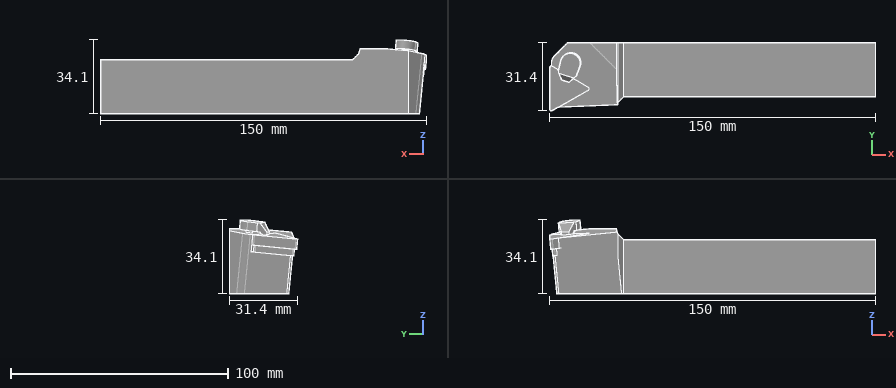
import cadquery as cq
import math


overall_length = 150.0
shank_width = 25.0
shank_height = 25.0

seat_tilt = 5.6
corner_overhang = 6.43
corner_height = 25.05

inscribed_diameter = 12.7
insert_thickness = 4.76
insert_corner_radius = 0.8

shim_thickness = 3.18
shim_inset = 0.6

head_height = 30.0
head_front_inset = 0.75
head_side_offset = 2.2
head_side_angle = 2.9
front_corner_chamfer = 1.0
back_corner_start = 22.6
back_corner_radius = 5.0
back_corner_turn = 45.0

neck_end = 34.0
neck_rise = 2.6
step_lean = 0.75

clamp_height = 5.22
clamp_center_x = 10.0
clamp_center_y = 23.2
clamp_angle = 17.0
clamp_radius = 4.6
clamp_shoulder_half_width = 4.3
clamp_shoulder = 4.9
clamp_slope_start = 6.0
clamp_nose_half_width = 1.8
clamp_nose_reach = 9.1
clamp_nose_height = 1.3
clamp_toe_length = 1.8
clamp_clearance = 1.2
clamp_stem_diameter = 3.0

slope = math.tan(math.radians(seat_tilt))
insert_side = inscribed_diameter * math.sqrt(3)
corner_setback = insert_corner_radius * (math.sqrt(3) - 1)
seat_normal = cq.Vector(-slope, -slope, 1)
seat_x = cq.Vector(0, 1, slope).cross(seat_normal)
seat_origin = cq.Vector(0, -corner_overhang - corner_setback, corner_height)
seat = cq.Plane(origin=seat_origin, xDir=seat_x, normal=seat_normal)

margin = 10.0


def triangle_prism(front_x, near_y, side, top, thickness):
    """Round-cornered equilateral triangle parallel to the seat, with its front edge along Y.

    The front edge starts at `near_y`; the triangle's top lies `top` below the seat plane.
    """
    apex_x = front_x + side * math.sqrt(3) / 2
    return (
        cq.Workplane(seat)
        .workplane(offset=-top)
        .polyline([(front_x, near_y), (apex_x, near_y + side / 2), (front_x, near_y + side)])
        .close()
        .extrude(-thickness)
        .edges(cq.selectors.ParallelDirSelector(seat_normal))
        .fillet(insert_corner_radius)
    )


def leaning_head():
    """Head block with walls square to the seat plane, running past its trimmed ends."""
    far_x = neck_end + margin
    far_y = 2 * shank_width
    side_rise = math.tan(math.radians(head_side_angle))
    front = head_front_inset
    chamfer_x = front + front_corner_chamfer
    arc_end_angle = math.radians(back_corner_turn)
    arc_mid_angle = arc_end_angle / 2
    arc_center_x = front + back_corner_radius
    arc_end_x = arc_center_x - back_corner_radius * math.cos(arc_end_angle)
    arc_end_y = back_corner_start + back_corner_radius * math.sin(arc_end_angle)
    arc_mid = (
        arc_center_x - back_corner_radius * math.cos(arc_mid_angle),
        back_corner_start + back_corner_radius * math.sin(arc_mid_angle),
    )
    return (
        cq.Workplane(seat)
        .moveTo(front, head_side_offset + front_corner_chamfer)
        .lineTo(front, back_corner_start)
        .threePointArc(arc_mid, (arc_end_x, arc_end_y))
        .lineTo(arc_end_x + (far_y - arc_end_y) / math.tan(arc_end_angle), far_y)
        .lineTo(far_x, far_y)
        .lineTo(far_x, head_side_offset + side_rise * (far_x - chamfer_x))
        .lineTo(chamfer_x, head_side_offset)
        .close()
        .extrude(-2 * head_height)
    )


def head_and_neck():
    """Leaning head trimmed by its side profile and its plan, both ending in the neck flare."""
    flare_start = neck_end - neck_rise
    side_profile = (
        cq.Workplane("XZ", origin=(0, shank_width, 0))
        .polyline([
            (-margin, 0),
            (neck_end, 0),
            (neck_end, shank_height),
            (flare_start, shank_height + neck_rise),
            (flare_start - step_lean, head_height),
            (-margin, head_height),
        ])
        .close()
        .extrude(shank_width + margin)
    )
    plan = (
        cq.Workplane("XY")
        .polyline([
            (-margin, shank_width),
            (neck_end, shank_width),
            (neck_end, 0),
            (flare_start, -neck_rise),
            (flare_start, -margin),
            (-margin, -margin),
        ])
        .close()
        .extrude(head_height)
    )
    return leaning_head().intersect(side_profile).intersect(plan)


def clamp():
    """Round-backed clamp with tapering sides, a sloping nose and a toe on the insert."""
    origin = seat.toWorldCoords((clamp_center_x, clamp_center_y, 0))
    turn = math.radians(clamp_angle)
    across = seat.xDir * math.cos(turn) - seat.yDir * math.sin(turn)
    base = cq.Plane(origin=origin, xDir=across, normal=seat_normal)

    shoulder_distance = math.hypot(clamp_shoulder_half_width, clamp_shoulder)
    tangent_angle = math.acos(clamp_radius / shoulder_distance) - math.atan2(
        clamp_shoulder, clamp_shoulder_half_width
    )
    tangent_x = clamp_radius * math.cos(tangent_angle)
    tangent_y = clamp_radius * math.sin(tangent_angle)
    body = (
        cq.Workplane(base)
        .moveTo(-clamp_nose_half_width, -clamp_nose_reach)
        .lineTo(clamp_nose_half_width, -clamp_nose_reach)
        .lineTo(clamp_shoulder_half_width, -clamp_shoulder)
        .lineTo(tangent_x, tangent_y)
        .threePointArc((0, clamp_radius), (-tangent_x, tangent_y))
        .lineTo(-clamp_shoulder_half_width, -clamp_shoulder)
        .close()
        .extrude(clamp_height)
    )
    profile_plane = cq.Plane(origin=origin, xDir=base.yDir, normal=across)
    nose_slope = (
        cq.Workplane(profile_plane)
        .polyline([
            (-clamp_slope_start, clamp_height),
            (-clamp_nose_reach, clamp_nose_height),
            (-clamp_nose_reach, clamp_height),
        ])
        .close()
        .extrude(clamp_nose_reach, both=True)
    )
    toe_back = clamp_toe_length - clamp_nose_reach
    clearance = (
        cq.Workplane(profile_plane)
        .polyline([
            (toe_back, 0),
            (toe_back + clamp_clearance, clamp_clearance),
            (clamp_nose_reach, clamp_clearance),
            (clamp_nose_reach, 0),
        ])
        .close()
        .extrude(clamp_nose_reach, both=True)
    )
    stem = cq.Workplane(base).circle(clamp_stem_diameter / 2).extrude(clamp_height)
    return body.cut(nose_slope).cut(clearance).union(stem)


shank = cq.Workplane("XY").box(
    overall_length - neck_end, shank_width, shank_height, centered=False
).translate((neck_end, 0, 0))

insert = triangle_prism(0, 0, insert_side, 0, insert_thickness)

shim_pocket_start = shim_inset * 2 / math.sqrt(3)
shim_pocket = triangle_prism(
    0, shim_pocket_start, insert_side - shim_pocket_start, insert_thickness, shim_thickness
)
shim_side = insert_side - 2 * shim_inset * math.sqrt(3)
shim = triangle_prism(
    shim_inset, shim_inset * math.sqrt(3), shim_side, insert_thickness, shim_thickness
)

holder = shank.union(head_and_neck()).cut(insert).cut(shim_pocket).union(shim).union(clamp())

result = cq.Compound.makeCompound([holder.val(), insert.val()])